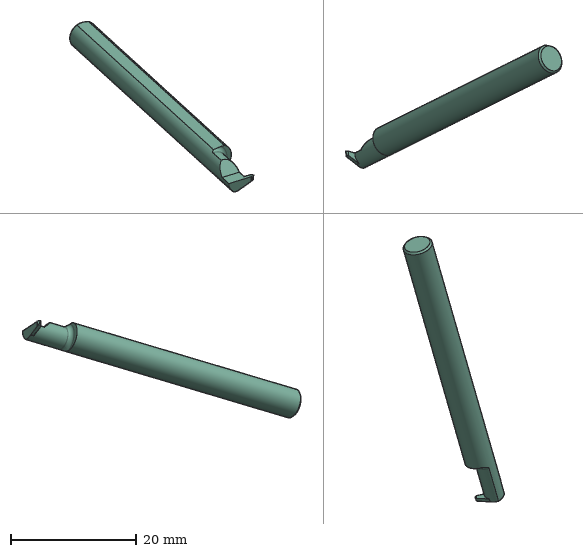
import cadquery as cq

total_length = 50.8
shank_radius = 2.4
flat_height = 2.15
end_chamfer = 0.3

neck_radius = 1.95
neck_wall_y = 0.8
neck_axis_y = neck_wall_y - neck_radius
neck_start = 44.05
blend_radius = 0.7

rake_height = 0.0
head_start = 48.5
ramp_start = head_start - (neck_radius - rake_height)
head_end = 50.65

tooth_back = 50.05
tooth_tip_x = 50.4
tooth_shoulder_y = 2.05
tooth_corner_y = 1.95
corner_root_y = 1.75
tooth_tip_height = 0.7
tooth_tip_relief = 0.2
tooth_root_depth = 1.65


def make_body():
    """Shank and neck, joined by a concave blend around the neck axis."""
    blend_start = neck_start - blend_radius
    outer_radius = neck_radius + blend_radius
    clear_radius = 2 * shank_radius
    waste = (
        cq.Workplane("XY")
        .moveTo(neck_start, neck_axis_y + neck_radius)
        .radiusArc((blend_start, neck_axis_y + outer_radius), blend_radius)
        .lineTo(blend_start, neck_axis_y + clear_radius)
        .lineTo(total_length, neck_axis_y + clear_radius)
        .lineTo(total_length, neck_axis_y + neck_radius)
        .close()
        .revolve(360, (0, neck_axis_y, 0), (1, neck_axis_y, 0))
    )
    shank = cq.Workplane("YZ").circle(shank_radius).extrude(head_end)
    shank = shank.faces("<X").chamfer(end_chamfer)
    return shank.cut(waste)


def cut_flat(body):
    width = 2 * shank_radius
    flat_plane = cq.Workplane("XY").workplane(offset=flat_height)
    above_flat = flat_plane.rect(2 * total_length, width).extrude(width)
    return body.cut(above_flat)


def cut_head(body):
    """Remove the upper half at the tip, with a ramp up to the neck."""
    waste = (
        cq.Workplane("XZ")
        .moveTo(ramp_start, neck_radius)
        .lineTo(head_start, rake_height)
        .lineTo(total_length, rake_height)
        .lineTo(total_length, neck_radius)
        .close()
        .extrude(shank_radius, both=True)
    )
    return body.cut(waste)


def make_tooth():
    """Pointed tooth reaching toward +Y, relieved below its tip."""
    plan = (
        cq.Workplane("XY")
        .workplane(offset=rake_height)
        .polyline([
            (tooth_back, neck_axis_y),
            (tooth_back, tooth_shoulder_y),
            (tooth_tip_x, shank_radius),
            (total_length, tooth_corner_y),
            (head_end, corner_root_y),
            (head_end, neck_axis_y),
        ])
        .close()
        .extrude(-neck_radius)
    )
    side = (
        cq.Workplane("YZ")
        .polyline([
            (neck_axis_y, rake_height),
            (shank_radius, rake_height),
            (shank_radius - tooth_tip_relief, rake_height - tooth_tip_height),
            (0, rake_height - tooth_root_depth),
            (neck_axis_y, rake_height - tooth_root_depth),
        ])
        .close()
        .extrude(total_length)
    )
    end_relief = (
        cq.Workplane("XZ")
        .moveTo(total_length, rake_height)
        .lineTo(head_end, rake_height - tooth_tip_height)
        .lineTo(head_end, -neck_radius)
        .lineTo(total_length, -neck_radius)
        .close()
        .extrude(shank_radius, both=True)
    )
    return plan.intersect(side).cut(end_relief)


result = cut_head(cut_flat(make_body())).union(make_tooth())